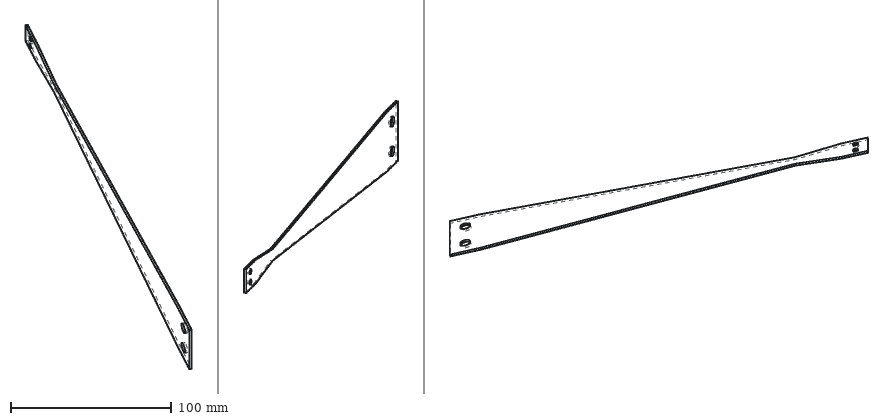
import cadquery as cq

length = 270.0
thickness = 1.5

wide_width = 40.0
wide_tab_length = 20.0
wide_hole_diameter = 6.5
wide_hole_spacing = wide_width / 2
wide_hole_x = length - wide_tab_length / 2

narrow_width = 16.0
narrow_tab_length = 17.0
narrow_hole_diameter = 3.2
narrow_hole_spacing = 7.0
narrow_hole_x = narrow_width / 2

neck_x = 47.2
neck_width = 7.8


def plate():
    """Flat plate, symmetric about the X axis, centred on Y = 0."""
    upper_edge = [
        (0, narrow_width / 2),
        (narrow_tab_length, narrow_width / 2),
        (neck_x, neck_width / 2),
        (length - wide_tab_length, wide_width / 2),
        (length, wide_width / 2),
    ]
    lower_edge = [(x, -z) for x, z in reversed(upper_edge)]
    outline = cq.Workplane("XZ").polyline(upper_edge + lower_edge).close()
    return outline.extrude(thickness / 2, both=True)


def hole_pair(x, spacing, diameter):
    """Two through-hole cutters placed evenly above and below the X axis."""
    centres = [(x, -spacing / 2), (x, spacing / 2)]
    circles = cq.Workplane("XZ").pushPoints(centres).circle(diameter / 2)
    return circles.extrude(thickness, both=True)


result = (
    plate()
    .cut(hole_pair(narrow_hole_x, narrow_hole_spacing, narrow_hole_diameter))
    .cut(hole_pair(wide_hole_x, wide_hole_spacing, wide_hole_diameter))
)